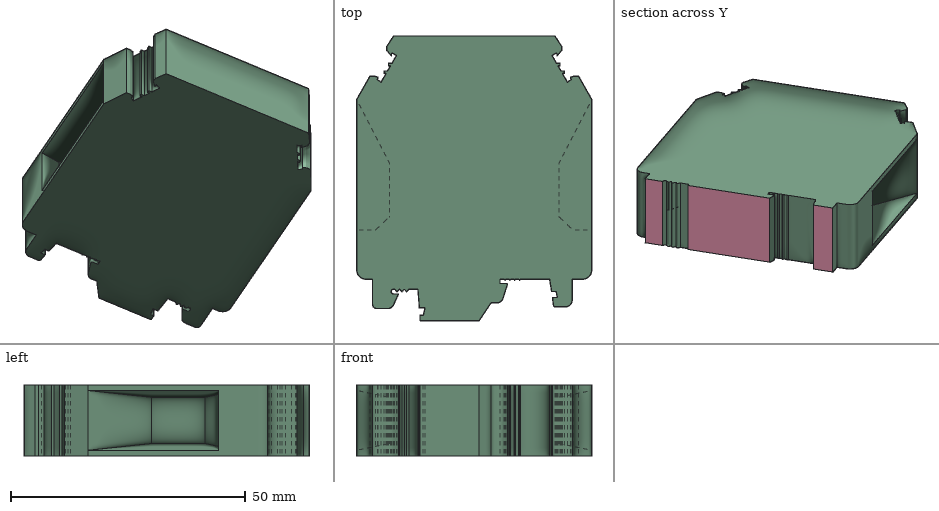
import cadquery as cq
import math

WIDTH = 50.2
HEIGHT = 60.9
THICKNESS = 15.2
HALF_WIDTH = WIDTH / 2

TOP_HALF_WIDTH = 17.2
SHOULDER_Y = 47.3
SHOULDER_CREST_Y = 52.3
SHOULDER_CREST_X = 22.3
BROW_X = 18.7
BROW_HIGH_Y = 58.6
BROW_LOW_Y = 57.8
CREST_BARB = [(21.3, SHOULDER_CREST_Y), (20.5, 52.05), (20.7, 51.55)]
BROW_BARB = [(17.6, 57.2), (17.7, 56.6)]
NOTCH_WALL_SLOPE = math.tan(math.radians(60))
NOTCH_LOW_X = 19.9
NOTCH_LOW_Y = 51.0
NOTCH_HIGH_Y = 56.7
NOTCH_HIGH_X = NOTCH_LOW_X - (NOTCH_HIGH_Y - NOTCH_LOW_Y) / NOTCH_WALL_SLOPE
NOTCH_TOOTH_LEVELS = (53.4, 55.05)
NOTCH_TOOTH_REACH = 0.75
NOTCH_TOOTH_DROP = 0.55

UNDERSIDE_Y = 8.9
LOWER_CORNER_RADIUS = 2.0

LEFT_HOOK_X = -21.75
LEFT_HOOK_Y = 2.6
LEFT_HOOK_TOE_X = -17.6
LEFT_HOOK_TIP_X = -16.15
LEFT_HOOK_CORNER_RADIUS = 0.9
LEFT_HOOK_TOE_RADIUS = 1.45
LEFT_CEILING_Y = 6.75
LEFT_SLIT_X = -17.2
LEFT_SLIT_RADIUS = 0.5
LEFT_LIP_Y = LEFT_CEILING_Y - 2 * LEFT_SLIT_RADIUS
LEFT_TEETH_X = -16.5
LEFT_TEETH_COUNT = 3
LEFT_TOOTH_DEPTH = 0.55
TOOTH_PITCH = 1.05
TOOTH_ANCHOR = 0.6

FOOT_SIDE_TOP_X = -12.05
FOOT_SIDE_LOW_X = -11.75
FOOT_GROOVE_TOP_Y = 2.8
FOOT_GROOVE_LOW_Y = 1.2
FOOT_GROOVE_TOP_X = -10.55
FOOT_GROOVE_LOW_X = -10.9
FOOT_TOE_X = -11.6
FOOT_END_X = 1.05
FOOT_STEP_X = 3.6
FOOT_STEP_Y = 3.85
FOOT_NOSE_LOW_X = 5.85
FOOT_NOSE_RADIUS = 1.4
FOOT_LIP_X = 7.2
FOOT_LIP_Y = 8.05
FOOT_LIP_RADIUS = 0.3
FOOT_TOE_RADIUS = 0.25
RAIL_SLIT_X = 5.55

RIGHT_TEETH_X = 6.6
RIGHT_TEETH_COUNT = 4
RIGHT_TOOTH_DEPTH = 0.25
RIGHT_TOOTH_WIDTH = 0.35

RIGHT_HOOK_X = 20.95
RIGHT_HOOK_Y = 3.0
RIGHT_HOOK_CORNER_RADIUS = 1.5
RIGHT_HOOK_ROOT_X = 16.1
RIGHT_HOOK_TOE_X = 16.9
RIGHT_HOOK_TOE_RADIUS = 0.5
RIGHT_SLOT_TOP_Y = 6.3
RIGHT_SLOT_LOW_Y = 5.05
RIGHT_SLOT_TOP_X = 17.5
RIGHT_SLOT_LOW_X = 17.7
RIGHT_SLOT_MOUTH_TOP_X = 16.5
RIGHT_SLOT_MOUTH_LOW_X = 16.7

FUNNEL_DEPTH = 7.0
FUNNEL_LOW_Y = 19.4
FUNNEL_STEP_DEPTH = 4.0
FUNNEL_FLOOR_LOW_Y = 22.2
FUNNEL_FLOOR_HIGH_Y = 33.7
FUNNEL_MOUTH_HEIGHT = 12.8
FUNNEL_FLOOR_HEIGHT = 9.85


def prism(sketch):
    """Extrude a closed XY outline over the full thickness, centred on Z = 0."""
    return sketch.extrude(THICKNESS / 2, both=True)


def polygon(points):
    return prism(cq.Workplane("XY").polyline(points).close())


def round_corner(body, x, y, radius):
    """Fillet the upright edge standing at (x, y)."""
    return body.edges(cq.selectors.NearestToPointSelector((x, y, 0))).fillet(radius)


def mirror_points(points):
    return [(-x, y) for x, y in reversed(points)]


def notch_wall_x(y):
    """X of the sloping notch wall on the right-hand side."""
    return NOTCH_LOW_X - (y - NOTCH_LOW_Y) / NOTCH_WALL_SLOPE


def notch_tooth(level):
    """Outline points of one tooth on the notch wall, from bottom to top."""
    tip_x = notch_wall_x(level) + NOTCH_TOOTH_REACH
    foot = level - NOTCH_TOOTH_DROP
    return [(notch_wall_x(foot), foot), (tip_x, foot), (tip_x, level), (notch_wall_x(level), level)]


def housing():
    flank = [
        (HALF_WIDTH, UNDERSIDE_Y),
        (HALF_WIDTH, SHOULDER_Y),
        (SHOULDER_CREST_X, SHOULDER_CREST_Y),
        *CREST_BARB,
        (NOTCH_LOW_X, NOTCH_LOW_Y),
    ]
    for level in NOTCH_TOOTH_LEVELS:
        flank += notch_tooth(level)
    flank += [
        (NOTCH_HIGH_X, NOTCH_HIGH_Y),
        *BROW_BARB,
        (BROW_X, BROW_LOW_Y),
        (BROW_X, BROW_HIGH_Y),
        (TOP_HALF_WIDTH, HEIGHT),
    ]
    body = polygon(flank + mirror_points(flank))
    for x in (-HALF_WIDTH, HALF_WIDTH):
        body = round_corner(body, x, UNDERSIDE_Y, LOWER_CORNER_RADIUS)
    return body


def left_hook():
    slit_y = LEFT_CEILING_Y - LEFT_SLIT_RADIUS
    outline = (
        cq.Workplane("XY")
        .moveTo(LEFT_HOOK_X, UNDERSIDE_Y)
        .lineTo(LEFT_HOOK_X, LEFT_HOOK_Y)
        .lineTo(LEFT_HOOK_TOE_X, LEFT_HOOK_Y)
        .lineTo(LEFT_HOOK_TIP_X, LEFT_LIP_Y)
        .lineTo(LEFT_SLIT_X, LEFT_LIP_Y)
        .threePointArc((LEFT_SLIT_X - LEFT_SLIT_RADIUS, slit_y), (LEFT_SLIT_X, LEFT_CEILING_Y))
        .lineTo(FOOT_SIDE_TOP_X, LEFT_CEILING_Y)
        .lineTo(FOOT_SIDE_TOP_X, UNDERSIDE_Y)
        .close()
    )
    hook = prism(outline)
    hook = round_corner(hook, LEFT_HOOK_X, LEFT_HOOK_Y, LEFT_HOOK_CORNER_RADIUS)
    return round_corner(hook, LEFT_HOOK_TOE_X, LEFT_HOOK_Y, LEFT_HOOK_TOE_RADIUS)


def central_foot():
    foot = polygon([
        (FOOT_SIDE_TOP_X, UNDERSIDE_Y),
        (FOOT_SIDE_TOP_X, LEFT_CEILING_Y),
        (FOOT_SIDE_LOW_X, FOOT_GROOVE_TOP_Y),
        (FOOT_GROOVE_TOP_X, FOOT_GROOVE_TOP_Y),
        (FOOT_GROOVE_LOW_X, FOOT_GROOVE_LOW_Y),
        (FOOT_TOE_X, FOOT_GROOVE_LOW_Y),
        (FOOT_TOE_X, 0),
        (FOOT_END_X, 0),
        (FOOT_STEP_X, FOOT_STEP_Y),
        (FOOT_NOSE_LOW_X, FOOT_STEP_Y),
        (FOOT_LIP_X, FOOT_LIP_Y),
        (RAIL_SLIT_X, FOOT_LIP_Y),
        (RAIL_SLIT_X, UNDERSIDE_Y),
    ])
    foot = round_corner(foot, FOOT_TOE_X, 0, FOOT_TOE_RADIUS)
    foot = round_corner(foot, FOOT_NOSE_LOW_X, FOOT_STEP_Y, FOOT_NOSE_RADIUS)
    return round_corner(foot, FOOT_LIP_X, FOOT_LIP_Y, FOOT_LIP_RADIUS)


def right_hook():
    hook = polygon([
        (RIGHT_HOOK_X, UNDERSIDE_Y),
        (RIGHT_HOOK_ROOT_X, UNDERSIDE_Y),
        (RIGHT_SLOT_MOUTH_TOP_X, RIGHT_SLOT_TOP_Y),
        (RIGHT_SLOT_TOP_X, RIGHT_SLOT_TOP_Y),
        (RIGHT_SLOT_LOW_X, RIGHT_SLOT_LOW_Y),
        (RIGHT_SLOT_MOUTH_LOW_X, RIGHT_SLOT_LOW_Y),
        (RIGHT_HOOK_TOE_X, RIGHT_HOOK_Y),
        (RIGHT_HOOK_X, RIGHT_HOOK_Y),
    ])
    hook = round_corner(hook, RIGHT_HOOK_X, RIGHT_HOOK_Y, RIGHT_HOOK_CORNER_RADIUS)
    return round_corner(hook, RIGHT_HOOK_TOE_X, RIGHT_HOOK_Y, RIGHT_HOOK_TOE_RADIUS)


def hanging_teeth(first_x, count, width, root_y, depth):
    """A row of pointed teeth hanging from a ceiling at root_y."""
    anchor_y = UNDERSIDE_Y + TOOTH_ANCHOR
    teeth = cq.Workplane("XY")
    for i in range(count):
        x = first_x + i * TOOTH_PITCH
        teeth = teeth.add(polygon([
            (x - width / 2, anchor_y),
            (x - width / 2, root_y),
            (x, root_y - depth),
            (x + width / 2, root_y),
            (x + width / 2, anchor_y),
        ]))
    return teeth.combine()


def funnel():
    """Cutter for the funnel in the -X side: a ramped plan limited by walls that taper in Z."""
    floor_x = FUNNEL_DEPTH - HALF_WIDTH
    plan = polygon([
        (-HALF_WIDTH, SHOULDER_Y),
        (floor_x, FUNNEL_FLOOR_HIGH_Y),
        (floor_x, FUNNEL_FLOOR_LOW_Y),
        (FUNNEL_STEP_DEPTH - HALF_WIDTH, FUNNEL_LOW_Y),
        (-HALF_WIDTH, FUNNEL_LOW_Y),
    ])
    taper = (
        cq.Workplane("XZ")
        .polyline([
            (-HALF_WIDTH, -FUNNEL_MOUTH_HEIGHT / 2),
            (floor_x, -FUNNEL_FLOOR_HEIGHT / 2),
            (floor_x, FUNNEL_FLOOR_HEIGHT / 2),
            (-HALF_WIDTH, FUNNEL_MOUTH_HEIGHT / 2),
        ])
        .close()
        .extrude(-HEIGHT)
    )
    return plan.intersect(taper)


left_teeth = hanging_teeth(LEFT_TEETH_X, LEFT_TEETH_COUNT, TOOTH_PITCH, LEFT_CEILING_Y, LEFT_TOOTH_DEPTH)
right_teeth = hanging_teeth(
    RIGHT_TEETH_X, RIGHT_TEETH_COUNT, RIGHT_TOOTH_WIDTH, UNDERSIDE_Y, RIGHT_TOOTH_DEPTH
)

block = housing()
for piece in (left_hook(), central_foot(), right_hook(), left_teeth, right_teeth):
    block = block.union(piece)

left_funnel = funnel()
result = block.cut(left_funnel).cut(left_funnel.mirror("YZ")).clean()